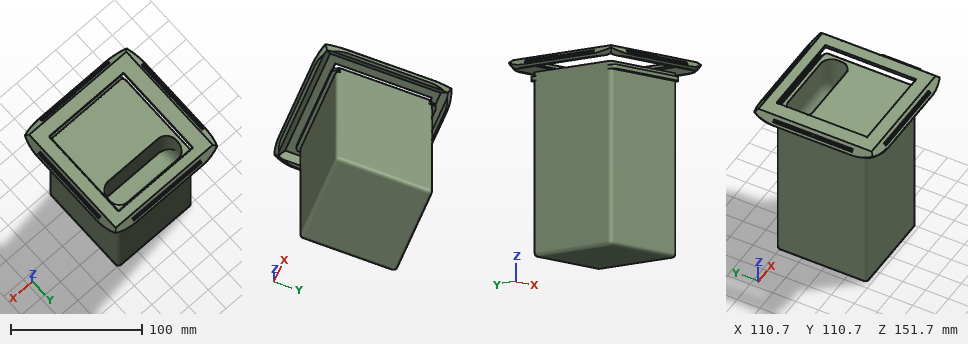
import cadquery as cq
import math

frame_size = 110.7
frame_top_z = 151.7
plate_thickness = 2.5
flange_thickness = 4.5
frame_depth = 7.6
flange_drop = 5.8
corner_drop = 2.5
flange_straight = 67.8
window_x, window_y = 75.8, 79.5
window_centre = (1.0, 1.2)

tongue_length = 34.6
tongue_width = 2.5
tongue_height = 0.8
tongue_flank_angle = 45
tongue_drop = 3.2

box_x, box_y = 76.2, 79.6
box_centre = (2.0, 1.8)
box_height = 142.9
edge_radius = 3.2
collar_overhang = 3.2
collar_bottom, collar_top = 136.7, 139.9

pocket_wall = 3.2
pocket_width = 22.1
pocket_depth = 40.0
pocket_end_radius = 9.5
scoop_radius = 17.5

top_half = frame_size / 2 - flange_drop
side_angles = (0, 90, 180, 270)
slope_stretch = math.sqrt(2)


def square_frustum(half_top, top_z, height):
    """Square block whose four sides spread outwards at 45 degrees below the top."""
    half_bottom = half_top + height
    return (
        cq.Workplane("XY", origin=(0, 0, top_z - height))
        .rect(2 * half_bottom, 2 * half_bottom)
        .workplane(offset=height)
        .rect(2 * half_top, 2 * half_top)
        .loft(combine=True)
    )


def turned(shape, angle):
    """Copy of a shape turned about the frame's vertical axis."""
    return shape.rotate((0, 0, 0), (0, 0, 1), angle)


def front_slope():
    """Plane of the -Y flange: x along the flange, y up the slope, z out of it."""
    return cq.Plane(origin=(0, -top_half, frame_top_z), xDir=(1, 0, 0), normal=(0, -1, 1))


def flange_trim():
    """Waste below the edge of the -Y flange, which curves upwards to both corners."""
    corner_x = top_half + corner_drop
    outside_x = frame_size
    edge_y = -flange_drop * slope_stretch
    corner_y = -corner_drop * slope_stretch
    below_y = -frame_size
    half = (
        cq.Workplane(front_slope())
        .moveTo(0, edge_y)
        .lineTo(flange_straight / 2, edge_y)
        .tangentArcPoint((corner_x, corner_y), relative=False)
        .lineTo(outside_x, corner_y)
        .lineTo(outside_x, below_y)
        .lineTo(0, below_y)
        .close()
        .extrude(flange_thickness, both=True)
    )
    return half.union(half.mirror("YZ"))


def tapered_bar(centre_x, height):
    """Bar along the -Y flange with sloping flanks; a negative height sinks it into the flange."""
    return (
        cq.Workplane(front_slope())
        .center(centre_x, -tongue_drop * slope_stretch)
        .rect(tongue_length, tongue_width)
        .extrude(height, taper=tongue_flank_angle)
    )


def make_frame():
    inner_top = frame_top_z - plate_thickness
    inner_half = top_half + plate_thickness - slope_stretch * flange_thickness
    frame = square_frustum(top_half, frame_top_z, frame_depth)
    frame = frame.cut(square_frustum(inner_half, inner_top, frame_depth - plate_thickness))
    trim = flange_trim()
    tongue = tapered_bar(-tongue_length / 2, tongue_height)
    groove = tapered_bar(tongue_length / 2, -tongue_height)
    for angle in side_angles:
        frame = frame.cut(turned(trim, angle)).cut(turned(groove, angle))
    for angle in side_angles:
        frame = frame.union(turned(tongue, angle))
    window = (
        cq.Workplane("XY", origin=(*window_centre, inner_top))
        .rect(window_x, window_y)
        .extrude(plate_thickness)
    )
    return frame.cut(window)


def finger_pocket():
    """Rounded slot whose floor sweeps up into the +Y wall and curves up at both ends."""
    length = box_x - 2 * pocket_wall
    back_y = box_centre[1] + box_y / 2 - pocket_wall
    middle_y = back_y - pocket_width / 2
    front_y = back_y - 2 * pocket_width
    floor_z = box_height - pocket_depth
    scoop = (
        cq.Workplane("YZ", origin=(box_centre[0] - length / 2, 0, 0))
        .moveTo(front_y, box_height)
        .lineTo(front_y, floor_z)
        .lineTo(back_y - scoop_radius, floor_z)
        .tangentArcPoint((back_y, floor_z + scoop_radius), relative=False)
        .lineTo(back_y, box_height)
        .close()
        .extrude(length)
        .edges("not (|X or >Z or <Y)")
        .fillet(pocket_end_radius)
    )
    slot = (
        cq.Workplane("XY", origin=(box_centre[0], middle_y, floor_z))
        .rect(length, pocket_width)
        .extrude(pocket_depth)
        .edges("|Z")
        .fillet(pocket_end_radius)
    )
    return slot.intersect(scoop)


def make_box():
    block = (
        cq.Workplane("XY", origin=(*box_centre, 0))
        .rect(box_x, box_y)
        .extrude(box_height)
        .edges("|Z or <Z")
        .fillet(edge_radius)
    )
    collar = (
        cq.Workplane("XY", origin=(*box_centre, collar_bottom))
        .rect(box_x, box_y + 2 * collar_overhang)
        .extrude(collar_top - collar_bottom)
        .edges("|Z")
        .fillet(edge_radius)
    )
    return block.union(collar).cut(finger_pocket())


frame = make_frame()
box = make_box()
result = cq.Compound.makeCompound([frame.val(), box.val()])